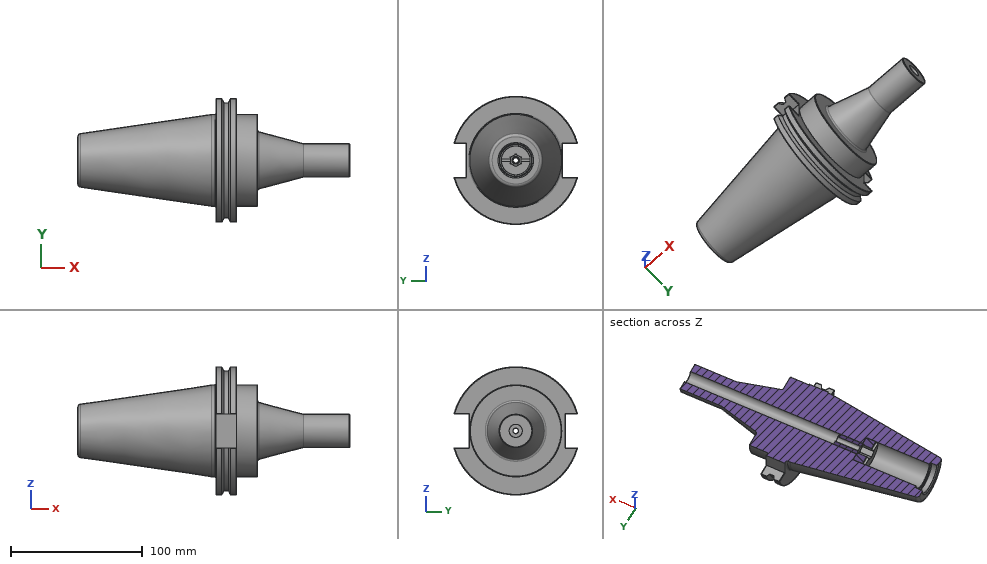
import cadquery as cq
import math

gauge_dia = 69.85
taper_ratio = 7 / 24
taper_length = 101.75
taper_end_fillet = 2.5
total_length = 206.77

flange_dia = 97.5
flange_start = 3.2
flange_end = 19.1
flange_edge_chamfer = 0.45
flange_root_fillet = 0.8

groove_center = 11.1
groove_floor_dia = 91.25
groove_floor_width = 3.2
groove_half_angle = 30

key_slot_width = 25.7
key_floor_plus_y = 37.7
key_floor_minus_y = 35.5

collar_dia = 70.0
collar_end = 35.0
collar_chamfer = 0.5

nose_root_dia = 44.0
nose_root_fillet = 1.5
nose_dia = 25.4
nose_start = 69.8
nose_chamfer = 0.5

pilot_dia = 25.0
pilot_depth = 5.2
pilot_chamfer = 1.0
step_dia = 24.2
step_cone_length = 0.8
step_length = 0.6
thread_dia = 21.97
thread_depth = 60.0
tool_bore_dia = 10.0

plug_length = 10.0
plug_slot_width = 2.0
plug_slot_depth = 2.0
plug_hex_flats = 8.0
hex_half_angle = 30

stop_length = 20.0
stop_hole_dia = 4.0
stop_hole_chamfer = 0.9

taper_start = -taper_length
nose_end = taper_start + total_length
taper_end_dia = gauge_dia - taper_length * taper_ratio
key_slots = [(1, key_floor_plus_y), (-1, key_floor_minus_y)]
thread_floor = taper_start + thread_depth
plug_start = thread_floor - plug_length


def x_cylinder(start, length, dia):
    """Solid cylinder along +X from the given X position."""
    return cq.Workplane("YZ").workplane(offset=start).circle(dia / 2).extrude(length)


def x_cone(start, end, start_dia, end_dia):
    """Solid cone frustum about X."""
    outline = [(start, 0), (start, start_dia / 2), (end, end_dia / 2), (end, 0)]
    return cq.Workplane("XY").polyline(outline).close().revolve(360, (0, 0, 0), (1, 0, 0))


def make_taper():
    taper = x_cone(taper_start, 0, taper_end_dia, gauge_dia)
    return taper.faces("<X").edges().fillet(taper_end_fillet)


def make_flange():
    """Flange disc with two drive key slots, broken edges and the gripper groove."""
    flange = x_cylinder(flange_start, flange_end - flange_start, flange_dia)
    for side, floor in key_slots:
        flange = flange.cut(make_key_slot(side, floor))
    flange = break_flange_edges(flange)
    return flange.cut(make_gripper_groove())


def break_flange_edges(flange):
    """Chamfer the rim and the slot walls, leaving the slot floors sharp."""
    wall_rim_edges = [
        edge for edge in flange.edges("|X").vals() if abs(edge.Center().y) > groove_floor_dia / 2
    ]
    face_edges = flange.edges("%CIRCLE or |Y")
    return face_edges.add(wall_rim_edges).chamfer(flange_edge_chamfer)


def make_gripper_groove():
    """Ring with a trapezoid section that cuts the V groove in the flange rim."""
    rim = flange_dia / 2
    floor = groove_floor_dia / 2
    half_floor = groove_floor_width / 2
    half_mouth = half_floor + (rim - floor) * math.tan(math.radians(groove_half_angle))
    section = [
        (groove_center - half_floor, floor),
        (groove_center - half_mouth, rim),
        (groove_center + half_mouth, rim),
        (groove_center + half_floor, floor),
    ]
    return cq.Workplane("XY").polyline(section).close().revolve(360, (0, 0, 0), (1, 0, 0))


def make_gauge_land():
    """Short cylinder behind the flange, blended into the flange face."""
    land_radius = gauge_dia / 2
    fillet_start = flange_start - flange_root_fillet
    fillet_rim = land_radius + flange_root_fillet
    mid = flange_root_fillet * math.sqrt(0.5)
    return (
        cq.Workplane("XY")
        .moveTo(0, 0)
        .lineTo(0, land_radius)
        .lineTo(fillet_start, land_radius)
        .threePointArc((fillet_start + mid, fillet_rim - mid), (flange_start, fillet_rim))
        .lineTo(flange_start, 0)
        .close()
        .revolve(360, (0, 0, 0), (1, 0, 0))
    )


def make_front():
    """Collar, conical neck and straight nose in front of the flange."""
    collar = x_cylinder(flange_end, collar_end - flange_end, collar_dia)
    collar = collar.faces(">X").edges().chamfer(collar_chamfer)
    neck = x_cone(collar_end, nose_start, nose_root_dia, nose_dia)
    front = collar.union(neck)
    collar_face = front.faces("|X").faces(">X[-2]")
    neck_root = collar_face.edges(cq.selectors.RadiusNthSelector(0))
    front = neck_root.fillet(nose_root_fillet)
    nose = x_cylinder(nose_start, nose_end - nose_start, nose_dia)
    nose = nose.faces(">X").edges().chamfer(nose_chamfer)
    return front.union(nose)


def make_key_slot(side, floor):
    """Cutter for one drive key slot; side is +1 for +Y and -1 for -Y."""
    depth = flange_dia / 2
    width = flange_end - flange_start
    slot = cq.Workplane("XY").box(width, depth, key_slot_width)
    return slot.translate((flange_start + width / 2, side * (floor + depth / 2), 0))


def make_holder_bore():
    """Stepped bore: chamfered pilot, narrow step, threaded bore, then the tool bore."""
    pilot_end = taper_start + pilot_depth
    step_start = pilot_end + step_cone_length
    mouth_dia = pilot_dia + 2 * pilot_chamfer
    bore = x_cylinder(taper_start, thread_depth, thread_dia)
    bore = bore.union(x_cylinder(taper_start, pilot_depth, pilot_dia))
    bore = bore.union(x_cone(taper_start, taper_start + pilot_chamfer, mouth_dia, pilot_dia))
    bore = bore.union(x_cone(pilot_end, step_start, pilot_dia, step_dia))
    bore = bore.union(x_cylinder(step_start, step_length, step_dia))
    return bore.union(x_cylinder(thread_floor, nose_end - thread_floor, tool_bore_dia))


def make_holder():
    holder = make_taper().union(make_gauge_land()).union(make_flange()).union(make_front())
    return holder.cut(make_holder_bore())


def make_plug():
    """Slotted plug at the bottom of the threaded bore, with a hex key hole through it."""
    plug = x_cylinder(plug_start, plug_length, thread_dia)
    slot = cq.Workplane("XY").box(plug_slot_depth, thread_dia, plug_slot_width)
    plug = plug.cut(slot.translate((plug_start + plug_slot_depth / 2, 0, 0)))
    hex_corner_dia = plug_hex_flats / math.cos(math.radians(hex_half_angle))
    hex_hole = cq.Workplane("YZ").polygon(6, hex_corner_dia).extrude(plug_length)
    return plug.cut(hex_hole.rotate((0, 0, 0), (1, 0, 0), hex_half_angle).translate((plug_start, 0, 0)))


def make_stop():
    """Stop sleeve in the tool bore, behind the plug."""
    stop = x_cylinder(thread_floor, stop_length, tool_bore_dia)
    stop = stop.cut(x_cylinder(thread_floor, stop_length, stop_hole_dia))
    mouth_dia = stop_hole_dia + 2 * stop_hole_chamfer
    return stop.cut(x_cone(thread_floor, thread_floor + stop_hole_chamfer, mouth_dia, stop_hole_dia))


holder = make_holder()
plug = make_plug()
stop = make_stop()

result = cq.Compound.makeCompound([holder.val(), plug.val(), stop.val()])